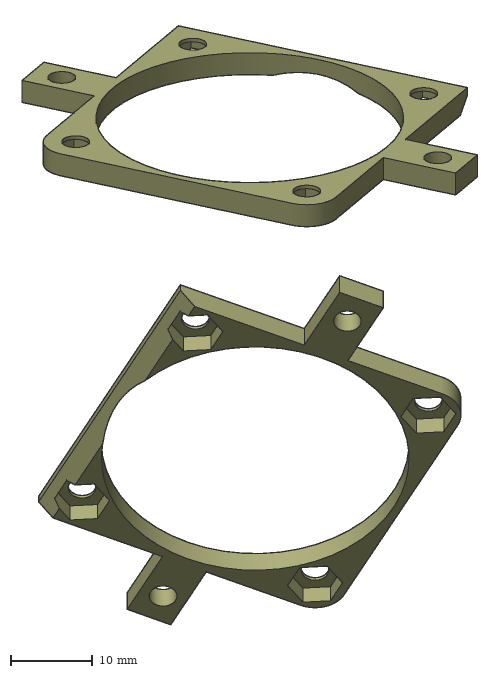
import cadquery as cq
import math

overall_length = 60.0
frame_side = 40.0
thickness = 3.0
bore_diameter = 38.0
screw_hole_diameter = 3.4
screw_hole_spacing = 32.0
ear_width = 6.0
ear_hole_spacing = 52.0
bevel_size = 2.0
nut_across_flats = 5.9
nut_roof_thickness = 0.5

corner_radius = (frame_side - screw_hole_spacing) / 2
nut_across_corners = nut_across_flats / math.cos(math.radians(30))
nut_pocket_depth = thickness - nut_roof_thickness


def make_frame():
    """Square plate with rounded -Y corners and a bevelled lower +Y edge."""
    plate = cq.Workplane("XY").box(frame_side, frame_side, thickness, centered=(True, True, False))
    plate = plate.edges("|Z and <Y").fillet(corner_radius)
    return plate.faces(">Y").edges("<Z").chamfer(bevel_size)


def make_ears():
    """One bar across the frame; its two ends stand out as mounting ears."""
    return cq.Workplane("XY").box(overall_length, ear_width, thickness, centered=(True, True, False))


def make_cutters():
    """Central bore, four corner screw holes with nut pockets and one hole in each ear."""
    bore = cq.Workplane("XY").circle(bore_diameter / 2).extrude(thickness)
    corner_holes = (
        cq.Workplane("XY")
        .rarray(screw_hole_spacing, screw_hole_spacing, 2, 2)
        .circle(screw_hole_diameter / 2)
        .extrude(thickness)
    )
    nut_pockets = (
        cq.Workplane("XY")
        .rarray(screw_hole_spacing, screw_hole_spacing, 2, 2)
        .polygon(6, nut_across_corners)
        .extrude(nut_pocket_depth)
    )
    ear_holes = (
        cq.Workplane("XY")
        .rarray(ear_hole_spacing, 0.6, 2, 1)
        .circle(screw_hole_diameter / 2)
        .extrude(thickness)
    )
    return [bore, corner_holes, nut_pockets, ear_holes]


body = make_frame().union(make_ears())
for cutter in make_cutters():
    body = body.cut(cutter)

result = cq.Workplane("XY").newObject([body.solids().val()])